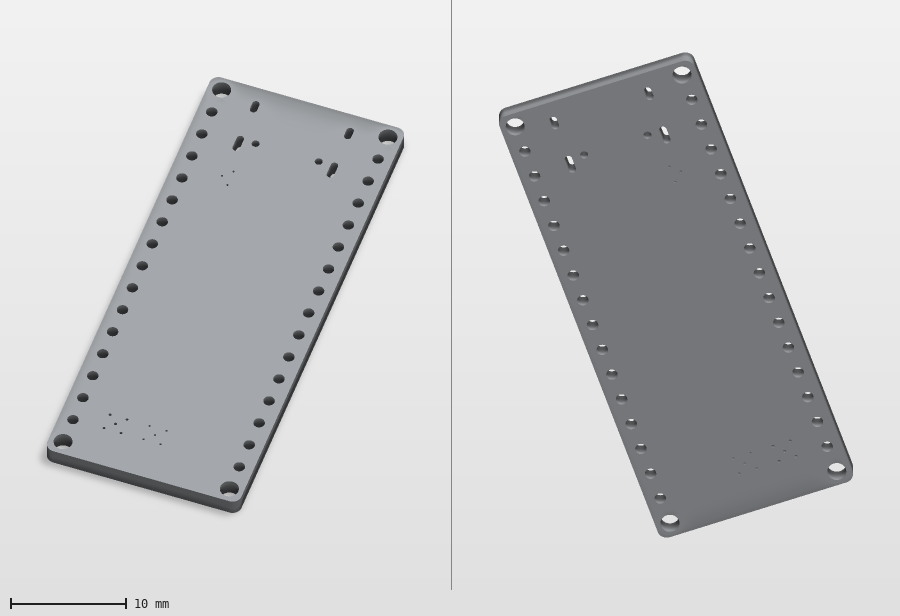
import cadquery as cq

width = 17.8
length = 43.2
thickness = 1.6
corner_radius = 0.8

pin_count = 15
pitch = length / (pin_count + 2)
edge_inset = pitch / 2
pin_diameter = 1.0
mount_diameter = 1.65
row_x = width / 2 - edge_inset
mount_y = length / 2 - edge_inset

slot_x = 4.3
slot_width = 0.65
rear_slot_y = 19.55
rear_slot_length = 1.25
front_slot_y = 15.35
front_slot_length = 1.7
locating_x = 2.9
locating_y = 15.8
locating_diameter = 0.7

small_via_diameter = 0.2
large_via_diameter = 0.25
via_offset = 0.78
cluster_y = -16.95
large_cluster_x = -4.0
small_cluster_x = -0.4
trio_x = -3.65
trio_y = 11.55


def drill(body, points, diameter):
    """Cut round through holes at the given points."""
    holes = cq.Workplane("XY").pushPoints(points).circle(diameter / 2).extrude(thickness)
    return body.cut(holes)


def cut_slot_pair(body, y, slot_length):
    """Cut two round-ended slots along Y, mirrored about X = 0."""
    points = [(-slot_x, y), (slot_x, y)]
    slots = cq.Workplane("XY").pushPoints(points).slot2D(slot_length, slot_width, 90).extrude(thickness)
    return body.cut(slots)


def five_vias(x, y):
    """Centre point and four corners of a square via cluster."""
    corners = [(x + i * via_offset, y + j * via_offset) for i in (-1, 1) for j in (-1, 1)]
    return [(x, y)] + corners


board = (
    cq.Workplane("XY")
    .box(width, length, thickness, centered=(True, True, False))
    .edges("|Z")
    .fillet(corner_radius)
)

mount_points = [(i * row_x, j * mount_y) for i in (-1, 1) for j in (-1, 1)]
board = drill(board, mount_points, mount_diameter)

first_pin_y = -pitch * (pin_count - 1) / 2
pin_points = [(side * row_x, first_pin_y + n * pitch) for side in (-1, 1) for n in range(pin_count)]
board = drill(board, pin_points, pin_diameter)

board = cut_slot_pair(board, rear_slot_y, rear_slot_length)
board = cut_slot_pair(board, front_slot_y, front_slot_length)
board = drill(board, [(-locating_x, locating_y), (locating_x, locating_y)], locating_diameter)

board = drill(board, five_vias(large_cluster_x, cluster_y), large_via_diameter)
board = drill(board, five_vias(small_cluster_x, cluster_y), small_via_diameter)
trio_points = [
    (trio_x, trio_y + via_offset),
    (trio_x - via_offset, trio_y),
    (trio_x, trio_y - via_offset),
]
board = drill(board, trio_points, small_via_diameter)

result = board